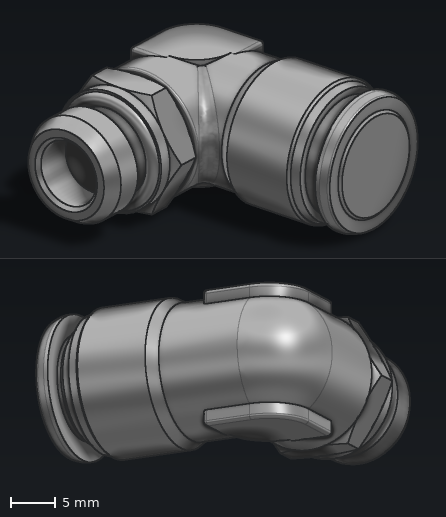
import cadquery as cq
import math


overall_length = 34.65
overall_depth = 32.55

hex_top = -10.3
hex_bottom = -14.28
hex_across_flats = 14.97
hex_flat_radius = hex_across_flats / 2
hex_corner_radius = hex_flat_radius / math.cos(math.pi / 6)
hex_chamfer_angle = 30

body_radius = 8.0
body_bottom = -10.0
body_edge_round = 0.3
valley_round = 1.65
valley_half_height = 7.28

pad_radius = 5.0
pad_reach = 6.0
pad_round = 0.5

sleeve_start = -body_bottom
sleeve_diameter = 17.5
sleeve_radius = sleeve_diameter / 2
sleeve_taper_length = 1.35
sleeve_end = 20.05
cap_start = 20.35
cap_end = 21.5
cap_radii = (8.42, 8.1)
collet_guide_end = 22.9
collet_guide_radii = (7.2, 6.83)
collet_neck_end = 23.6
collet_neck_radius = 6.0

flange_start = 24.0
flange_root_radius = 6.17
flange_radius = 8.5
flange_rim_end = 24.55
flange_taper_end = 25.45
flange_taper_radius = 8.2
flange_end = 25.72
flange_end_radius = 8.05
nose_radii = (6.5, 6.17)
socket_end = overall_length - hex_corner_radius

swivel_neck_radius = 6.65
collar_radius = hex_flat_radius
collar_bottom = -15.85
stem_neck_radius = 5.4
stem_neck_bottom = -18.3
thread_radius = 6.55
thread_top = -18.95
thread_bottom = -22.0
stem_end = sleeve_radius - overall_depth
stem_end_radius = 5.5

seal_section_radius = 0.9
seal_centre_radius = stem_neck_radius + seal_section_radius
seal_centre = -15.7

bore_radius = 4.02
bore_chamfer = 0.5
bore_depth = 4.95


def turned_about_x(outline):
    """Revolve a list of (x, radius) points about the X axis."""
    return cq.Workplane("XY").polyline(outline).close().revolve(360, (0, 0), (1, 0))


def turned_about_y(outline):
    """Revolve a list of (radius, y) points about the Y axis."""
    return cq.Workplane("XY").polyline(outline).close().revolve(360, (0, 0), (0, 1))


def elbow():
    """Two equal cylinders meeting in a ball, with a rounded inner valley."""
    ball = cq.Workplane("XY").sphere(body_radius)
    arm = cq.Workplane("YZ").circle(body_radius).extrude(sleeve_start)
    leg = cq.Workplane("XZ").circle(body_radius).extrude(-body_bottom)
    leg = leg.faces("<Y").edges().fillet(body_edge_round)

    slab_side = 4 * sleeve_start
    slab = cq.Workplane("XY").box(slab_side, slab_side, 2 * valley_half_height)
    arms = arm.union(leg)
    rounded_valley = arms.intersect(slab).edges("%ELLIPSE").fillet(valley_round)
    return arms.union(ball).union(rounded_valley)


def pads():
    """One block through the body whose two ends stand proud as flat pads."""
    side = pad_radius + pad_reach
    middle = (pad_reach - pad_radius) / 2
    block = cq.Workplane("XY").center(middle, -middle).rect(side, side).extrude(body_radius, both=True)
    block = block.edges("|Z").edges("<X and >Y").fillet(pad_radius)
    block = block.edges("|Z").edges("<Y or >X").fillet(pad_round)
    block = block.faces("|Z").edges().fillet(pad_round)

    quarter = cq.Workplane("XY").rect(pad_reach, -pad_reach, centered=False).extrude(body_radius, both=True)
    disc = cq.Workplane("XY").circle(pad_radius).extrude(body_radius, both=True)
    return block.cut(quarter).union(disc.intersect(quarter))


def tube_socket():
    """Sleeve, end cap, collet guide and release flange."""
    return turned_about_x([
        (0, 0),
        (0, body_radius),
        (sleeve_start, body_radius),
        (sleeve_start + sleeve_taper_length, sleeve_radius),
        (sleeve_end, sleeve_radius),
        (cap_start, cap_radii[0]),
        (cap_end, cap_radii[1]),
        (cap_end, collet_guide_radii[0]),
        (collet_guide_end, collet_guide_radii[1]),
        (collet_guide_end, collet_neck_radius),
        (collet_neck_end, collet_neck_radius),
        (flange_start, flange_root_radius),
        (flange_start, flange_radius),
        (flange_rim_end, flange_radius),
        (flange_taper_end, flange_taper_radius),
        (flange_end, flange_end_radius),
        (flange_end, nose_radii[0]),
        (socket_end, nose_radii[1]),
        (socket_end, 0),
    ])


def hexagon():
    """Hexagon with corners on the X axis, chamfered by a cone at both ends."""
    chamfer_drop = (hex_corner_radius - hex_flat_radius) * math.tan(math.radians(hex_chamfer_angle))
    prism = (
        cq.Workplane("XZ", origin=(0, hex_top, 0))
        .polygon(6, 2 * hex_corner_radius)
        .extrude(hex_top - hex_bottom)
    )
    envelope = turned_about_y([
        (0, hex_top),
        (hex_flat_radius, hex_top),
        (hex_corner_radius, hex_top - chamfer_drop),
        (hex_corner_radius, hex_bottom + chamfer_drop),
        (hex_flat_radius, hex_bottom),
        (0, hex_bottom),
    ])
    return prism.intersect(envelope)


def stem():
    """Swivel neck, collar, stem neck and threaded end."""
    return turned_about_y([
        (0, 0),
        (swivel_neck_radius, 0),
        (swivel_neck_radius, hex_bottom),
        (collar_radius, hex_bottom),
        (collar_radius, collar_bottom),
        (stem_neck_radius, collar_bottom),
        (stem_neck_radius, stem_neck_bottom),
        (thread_radius, thread_top),
        (thread_radius, thread_bottom),
        (stem_end_radius, stem_end),
        (0, stem_end),
    ])


def seal_ring():
    """Round-section ring seated under the collar."""
    section = cq.Workplane("XY").center(seal_centre_radius, seal_centre).circle(seal_section_radius)
    return section.revolve(360, (-seal_centre_radius, 0), (-seal_centre_radius, 1))


def stem_bore():
    """Blind bore with a chamfered mouth."""
    return turned_about_y([
        (0, stem_end),
        (bore_radius + bore_chamfer, stem_end),
        (bore_radius, stem_end + bore_chamfer),
        (bore_radius, stem_end + bore_depth),
        (0, stem_end + bore_depth),
    ])


result = elbow().union(pads()).union(tube_socket())
result = result.union(stem()).union(hexagon()).union(seal_ring())
result = result.cut(stem_bore())